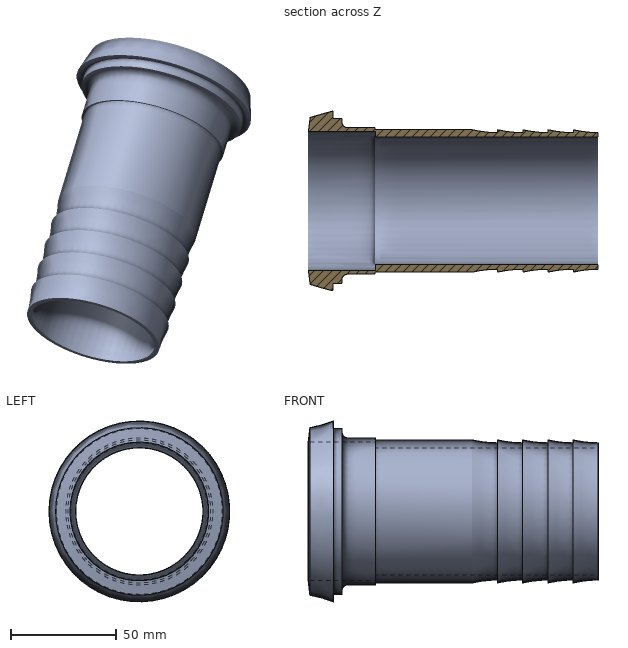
import cadquery as cq
import math

length = 138.0

rim_diameter = 86.0
rim_front_diameter = 79.6
rim_back_x = 12.0
face_setback = 0.8

flange_diameter = 79.0
flange_back_x = 16.1
collar_diameter = 70.0
collar_back_x = 32.0
collar_fillet = 2.6
tube_diameter = 68.0

barb_count = 5
barb_pitch = 12.0
barb_depth = 1.4
barbs_start_x = length - barb_count * barb_pitch

mouth_bore_diameter = 66.0
through_bore_diameter = 60.5
mouth_bore_depth = 32.0


def add_collar_fillet(profile):
    """Blend the flange back face into the collar with a concave quarter arc."""
    collar_radius = collar_diameter / 2
    arc_offset = collar_fillet * (1 - math.sqrt(0.5))
    return (
        profile
        .lineTo(flange_back_x, collar_radius + collar_fillet)
        .threePointArc(
            (flange_back_x + arc_offset, collar_radius + arc_offset),
            (flange_back_x + collar_fillet, collar_radius),
        )
    )


def add_barbs(profile):
    """Each barb sweeps from its crest down to a root where it runs parallel to X."""
    crest_radius = tube_diameter / 2
    root_radius = crest_radius - barb_depth
    arc_radius = (barb_pitch**2 + barb_depth**2) / (2 * barb_depth)
    half_pitch = barb_pitch / 2
    middle_radius = root_radius + arc_radius - math.sqrt(arc_radius**2 - half_pitch**2)
    for index in range(barb_count):
        crest_x = barbs_start_x + index * barb_pitch
        profile = profile.lineTo(crest_x, crest_radius).threePointArc(
            (crest_x + half_pitch, middle_radius),
            (crest_x + barb_pitch, root_radius),
        )
    return profile


profile = (
    cq.Workplane("XY")
    .moveTo(0, mouth_bore_diameter / 2)
    .lineTo(face_setback, rim_front_diameter / 2)
    .lineTo(rim_back_x, rim_diameter / 2)
    .lineTo(rim_back_x, flange_diameter / 2)
    .lineTo(flange_back_x, flange_diameter / 2)
)
profile = add_collar_fillet(profile)
profile = (
    profile
    .lineTo(collar_back_x, collar_diameter / 2)
    .lineTo(collar_back_x, tube_diameter / 2)
)
profile = add_barbs(profile)
profile = (
    profile
    .lineTo(length, through_bore_diameter / 2)
    .lineTo(mouth_bore_depth, through_bore_diameter / 2)
    .lineTo(mouth_bore_depth, mouth_bore_diameter / 2)
    .close()
)

result = profile.revolve(360, (0, 0, 0), (1, 0, 0))